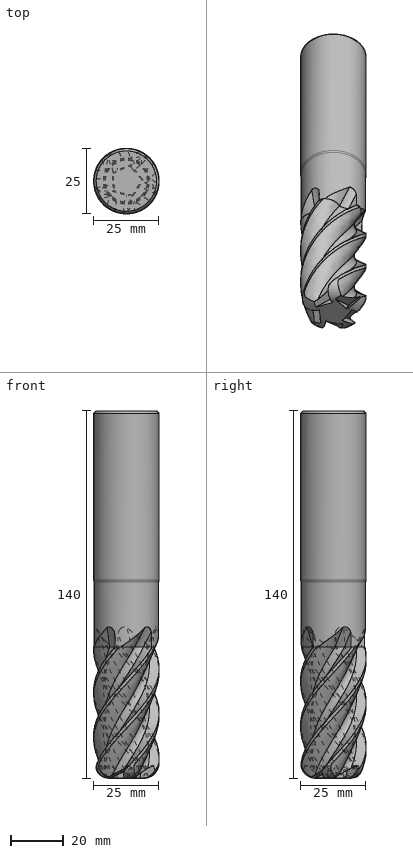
import cadquery as cq
import math

TOOL_RADIUS = 12.5
HEAD_LENGTH = 50.0
TOOTH_COUNT = 5
TOOTH_ANGLE = 360 / TOOTH_COUNT
HELIX_LEAD = 85.0
HEAD_TWIST = 360 * HEAD_LENGTH / HELIX_LEAD
EDGE_START_ANGLE = 38.0
CORNER_RADIUS = 6.0
CLEARANCE_RADIUS = TOOL_RADIUS + 1.0

GASH_INNER_RADIUS = 4.5
GASH_INNER_DEPTH = 4.0
GASH_TILT = 10.0
GASH_WALL_LEAN = 25.0
GASH_FLOOR_LEAN = 65.0
GASH_ROOT_OFFSET = 3.5
GASH_LENGTH = 13.0

LAND_ANGLE = 7.5
BACK_END_ANGLE = 42.0
RAKE_ROOT_ANGLE = 67.0
FLOOR_MID_ANGLE = (BACK_END_ANGLE + RAKE_ROOT_ANGLE) / 2
BACK_MID_ANGLE = (LAND_ANGLE + BACK_END_ANGLE) / 2

CORE_RADIUS = 8.0
BACK_MID_RADIUS = 10.9
BACK_END_RADIUS = CORE_RADIUS + 0.3
RAKE_ROOT_RADIUS = CORE_RADIUS + 0.8

TOTAL_LENGTH = 140.0
NECK_RADIUS = 12.3
NECK_TOP = 74.8
SHANK_BOTTOM = 75.6
SHANK_CHAMFER = 1.0

RUNOUT_HEIGHT = 7.0
RUNOUT_SWING_ANGLE = 80.0
RUNOUT_DEPTH = NECK_RADIUS - CORE_RADIUS
RUNOUT_LENGTH = RUNOUT_HEIGHT + 1.5
RUNOUT_LEAN = RUNOUT_LENGTH * RUNOUT_DEPTH / RUNOUT_HEIGHT


def polar(radius, angle):
    """Point at a radius and an angle in degrees about the tool axis."""
    turn = math.radians(angle)
    return (radius * math.cos(turn), radius * math.sin(turn))


def add_flute(path, edge_angle):
    """Continue from the heel of a land, through the flute, to the next cutting edge."""
    next_edge = edge_angle + TOOTH_ANGLE
    return (
        path.threePointArc(
            polar(BACK_MID_RADIUS, edge_angle + BACK_MID_ANGLE),
            polar(BACK_END_RADIUS, edge_angle + BACK_END_ANGLE),
        )
        .threePointArc(
            polar(CORE_RADIUS, edge_angle + FLOOR_MID_ANGLE),
            polar(RAKE_ROOT_RADIUS, edge_angle + RAKE_ROOT_ANGLE),
        )
        .lineTo(*polar(TOOL_RADIUS, next_edge))
    )


def head_section():
    """Closed cross-section of all the teeth: each a land followed by its flute."""
    path = cq.Workplane("XY").moveTo(*polar(TOOL_RADIUS, EDGE_START_ANGLE))
    for tooth in range(TOOTH_COUNT):
        edge_angle = EDGE_START_ANGLE + tooth * TOOTH_ANGLE
        path = path.threePointArc(
            polar(TOOL_RADIUS, edge_angle + LAND_ANGLE / 2),
            polar(TOOL_RADIUS, edge_angle + LAND_ANGLE),
        )
        path = add_flute(path, edge_angle)
    return path.close()


def head_envelope():
    """Round blank with the corner radius; its straight side clears the lands."""
    corner_inset = CORNER_RADIUS * (1 - math.sqrt(0.5))
    return (
        cq.Workplane("XZ")
        .lineTo(TOOL_RADIUS - CORNER_RADIUS, 0)
        .threePointArc((TOOL_RADIUS - corner_inset, corner_inset), (TOOL_RADIUS, CORNER_RADIUS))
        .lineTo(CLEARANCE_RADIUS, CORNER_RADIUS)
        .lineTo(CLEARANCE_RADIUS, HEAD_LENGTH)
        .lineTo(0, HEAD_LENGTH)
        .close()
        .revolve(360, (0, 0, 0), (0, 1, 0))
    )


def end_gash(edge_angle):
    """V trough across the end face in front of a tooth, deepening outwards."""
    tilt = math.radians(GASH_TILT)
    radial_x, radial_y = polar(1, edge_angle)
    tangent_x, tangent_y = polar(1, edge_angle + 90)
    along = (radial_x * math.cos(tilt), radial_y * math.cos(tilt), math.sin(tilt))
    start = (*polar(GASH_INNER_RADIUS, edge_angle), GASH_INNER_DEPTH)
    plane = cq.Plane(origin=start, xDir=(tangent_x, tangent_y, 0), normal=along)
    wall_shift = GASH_LENGTH * math.tan(math.radians(GASH_WALL_LEAN))
    floor_shift = GASH_LENGTH * math.tan(math.radians(GASH_FLOOR_LEAN))
    return (
        cq.Workplane(plane)
        .moveTo(GASH_ROOT_OFFSET, 0)
        .lineTo(GASH_ROOT_OFFSET - wall_shift, -GASH_LENGTH)
        .lineTo(GASH_ROOT_OFFSET - floor_shift, -GASH_LENGTH)
        .close()
        .extrude(GASH_LENGTH)
    )


def runout(edge_angle):
    """Flute section pushed upwards and outwards, so the flute floor climbs to the neck surface."""
    heel = polar(TOOL_RADIUS, edge_angle + LAND_ANGLE)
    path = cq.Workplane("XY", origin=(0, 0, HEAD_LENGTH)).moveTo(*heel)
    path = add_flute(path, edge_angle)
    outer_middle = polar(CLEARANCE_RADIUS, edge_angle + (LAND_ANGLE + TOOTH_ANGLE) / 2)
    section = path.threePointArc(outer_middle, heel).close().val()
    lean_x, lean_y = polar(RUNOUT_LEAN, edge_angle + RUNOUT_SWING_ANGLE)
    return cq.Solid.extrudeLinear(section, [], cq.Vector(lean_x, lean_y, RUNOUT_LENGTH))


head_blank = head_envelope()
for tooth in range(TOOTH_COUNT):
    head_blank = head_blank.cut(end_gash(EDGE_START_ANGLE + tooth * TOOTH_ANGLE))
head = head_section().twistExtrude(HEAD_LENGTH, HEAD_TWIST).intersect(head_blank)

shank = (
    cq.Workplane("YZ")
    .moveTo(0, HEAD_LENGTH)
    .lineTo(-NECK_RADIUS, HEAD_LENGTH)
    .lineTo(-NECK_RADIUS, NECK_TOP)
    .lineTo(-TOOL_RADIUS, SHANK_BOTTOM)
    .lineTo(-TOOL_RADIUS, TOTAL_LENGTH - SHANK_CHAMFER)
    .lineTo(-TOOL_RADIUS + SHANK_CHAMFER, TOTAL_LENGTH)
    .lineTo(0, TOTAL_LENGTH)
    .close()
    .revolve(360, (0, 0, 0), (0, 1, 0))
)
for tooth in range(TOOTH_COUNT):
    shank = shank.cut(runout(EDGE_START_ANGLE + HEAD_TWIST + tooth * TOOTH_ANGLE))

result = cq.Compound.makeCompound([shank.val(), head.val()])